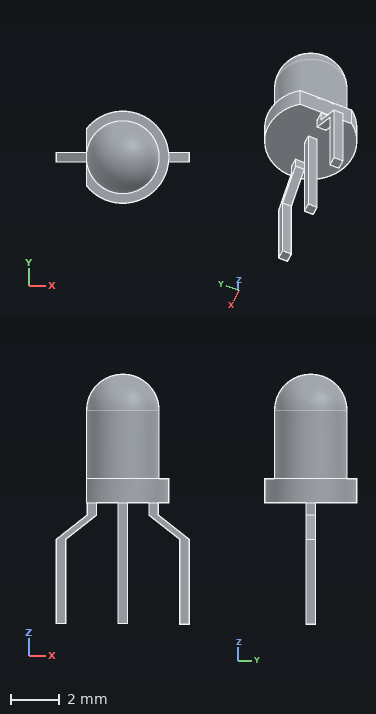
import cadquery as cq

lens_radius = 1.5
lens_straight_height = 2.8
flange_radius = 1.9
flange_height = 1.0
flat_x = -lens_radius

lead_width = 0.4
lead_pitch = 2.54
root_offset = lead_pitch / 2
long_lead_length = 5.0
short_lead_length = 4.97
bend_start_depth = 0.5
bend_end_depth = 1.5


def make_flange():
    """Disc with a flat cut on its -X side."""
    disc = cq.Workplane("XY").circle(flange_radius).extrude(flange_height)
    kept_side = cq.Workplane("XY").box(
        flange_radius - flat_x, 2 * flange_radius, flange_height, centered=(False, True, False)
    )
    return disc.intersect(kept_side.translate((flat_x, 0, 0)))


def make_lens():
    """Cylinder closed by a hemispherical dome, standing on the flange."""
    dome_base = flange_height + lens_straight_height
    flange_top = cq.Workplane("XY").workplane(offset=flange_height)
    cylinder = flange_top.circle(lens_radius).extrude(lens_straight_height)
    ball = cq.Workplane("XY").sphere(lens_radius).translate((0, 0, dome_base))
    return cylinder.union(ball)


def make_lead(centreline, length):
    """Lead following (x, depth) points, with the same width in X all along.

    It runs straight down from the last point until it reaches the given length.
    """
    half = lead_width / 2
    foot_x = centreline[-1][0]
    path = [(x, -depth) for x, depth in centreline + [(foot_x, length)]]
    left_edge = [(x - half, z) for x, z in path]
    right_edge = [(x + half, z) for x, z in reversed(path)]
    return cq.Workplane("XZ").polyline(left_edge + right_edge).close().extrude(half, both=True)


def make_outer_lead(side, length):
    """Cranked lead on the +X (side = 1) or -X (side = -1) side."""
    root_x = side * root_offset
    foot_x = side * lead_pitch
    return make_lead([(root_x, 0), (root_x, bend_start_depth), (foot_x, bend_end_depth)], length)


result = (
    make_flange()
    .union(make_lens())
    .union(make_lead([(0, 0)], short_lead_length))
    .union(make_outer_lead(-1, short_lead_length))
    .union(make_outer_lead(1, long_lead_length))
)